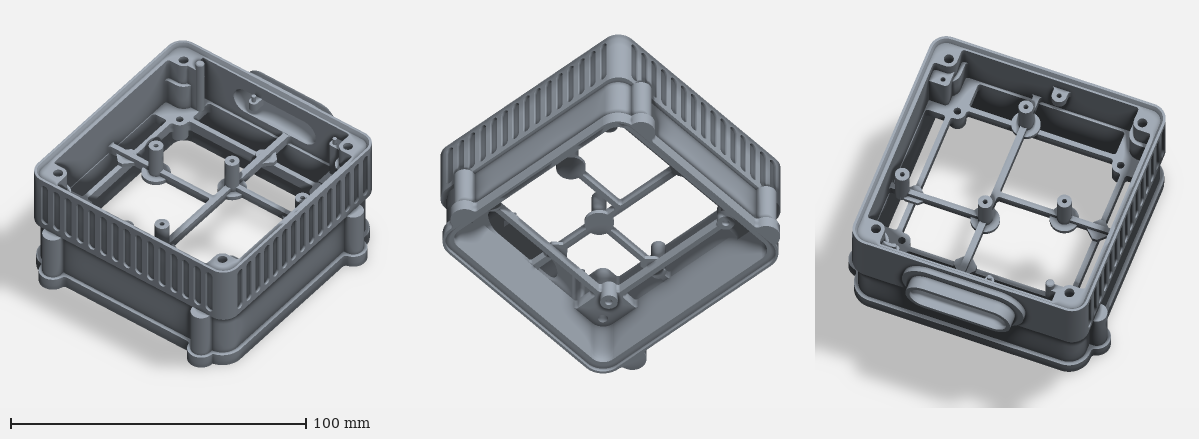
import cadquery as cq

tolerance = 0.01

base_top = 4.6
band_bottom = 21.8
floor_bottom = 19.7
floor_top = 23.7
beam_top = 27.0
gusset_top = 25.2
tab_bottom = 34.2
support_top = 37.4
boss_step = 34.0
ledge_top = 42.3
body_top = 43.8
locator_top = 45.0

body_side = 85.0
half_side = body_side / 2
body_radius = 6.0
overhang = 1.4
flange_radius = 7.7
lower_side = body_side - 2 * overhang
lower_radius = flange_radius - overhang

rim_width = 0.9
rim_slope = 0.9
cavity_x = 39.3
cavity_y = 40.0
lower_cavity = 39.0
cavity_radius = 5.0
cover_seat = half_side - rim_width
cover_seat_depth = body_top - ledge_top
cover_seat_radius = flange_radius - rim_width
wall_blend = 1.0
backing = 0.8

side_lug_y = 28.3
front_lug_x = 31.6
lug_radius = 3.6
flange_lug_radius = 4.8
lug_offset = 42.4
lug_root = 40.0
lug_blend = 1.4

groove_count = 15
groove_pitch = 5.0
groove_width = 3.0
groove_height = 17.8
groove_depth = 1.0
groove_z = 32.8

port_z = 32.15
port_span = 25.0
port_plate_radius = 9.5
port_plate_y = half_side + 2.1
port_tube_radius = 6.5
port_tube_y = half_side + 6.8
port_hole_radius = 5.0

frame_left, frame_right = -32.4, 30.9
frame_y = 28.8
frame_bar = 1.8
pad_left, pad_right = -27.3, 25.8
pad_y = 23.6
window_radius = 1.0
foot_holes_x = (-30.3, 28.75)
foot_hole_y = 26.65
foot_points = [(x, y) for x in foot_holes_x for y in (-foot_hole_y, foot_hole_y)]
foot_hole_diameter = 2.6
foot_radius = 3.0
foot_bottom = 16.5
pad_step_y = 30.4
pad_step_height = 0.5

spine_x = 5.0
spine_width = 2.3
branch_width = 1.9
left_branch_y = 0.0
right_branch_y = 9.7
post_radius = 2.5
post_hole_diameter = 1.7
post_hole_depth = 8.0
disc_radius = 5.0
gusset_reach = 3.9
gusset_tip = 0.9
gusset_trim_y = 12.1
low_post = (spine_x, -29.4)
left_post = (-20.0, left_branch_y)
spine_post = (spine_x, right_branch_y)
right_post = (35.0, right_branch_y)

boss_centre = 35.0
boss_hole_diameter = 3.4
boss_upper_radius = 3.0
boss_lower_radius = 4.4
pin_radius = 0.75
pin_height = 2.4
pin_y = 37.5
tab_pin_x = -7.0
tab_pin_radius = 1.65
block_pin_x = 27.5
block_left = 25.8
block_front = 35.9
block_radius = 1.2
locator = (-28.0, 35.0)
locator_radius = 1.5
locator_chamfer = 0.35
locator_web = 2.8
front_tab = (-4.0, -37.4)
front_tab_radius = 2.55
seat_hole = (35.0, -29.4)
seat_left = 32.4
seat_back = -27.2
seat_radius = 1.5


def box(x0, x1, y0, y1, z0, z1):
    """Axis-aligned block given by its limits."""
    return cq.Workplane("XY").box(x1 - x0, y1 - y0, z1 - z0, centered=False).translate((x0, y0, z0))


def rounded_box(size_x, size_y, z0, z1, radius):
    """Centred block with rounded vertical edges."""
    return box(-size_x / 2, size_x / 2, -size_y / 2, size_y / 2, z0, z1).edges("|Z").fillet(radius)


def cylinder(centre, radius, z0, z1):
    return cq.Workplane("XY", origin=(centre[0], centre[1], z0)).circle(radius).extrude(z1 - z0)


def lugs(radius, z0, z1):
    """Four lugs, one on each X side and two on the -Y side, with necks into the body."""
    side_lug = cylinder((lug_offset, side_lug_y), radius, z0, z1)
    side_lug = side_lug.union(box(lug_root, lug_offset, side_lug_y - radius, side_lug_y + radius, z0, z1))
    front_lug = cylinder((front_lug_x, -lug_offset), radius, z0, z1)
    front_lug = front_lug.union(
        box(front_lug_x - radius, front_lug_x + radius, -lug_offset, -lug_root, z0, z1))
    pair = side_lug.union(front_lug)
    return pair.union(pair.mirror("YZ"))


def outer_shell():
    """Solid outer form: lugged flange, lugged lower body and overhanging band."""
    flange = rounded_box(body_side, body_side, 0, base_top, flange_radius)
    flange = flange.union(lugs(flange_lug_radius, 0, base_top))
    straight_end = half_side - flange_radius

    def at_lug_root(edge):
        spot = edge.Center()
        near, far = sorted((abs(spot.x), abs(spot.y)))
        return abs(far - half_side) < tolerance and near < straight_end - tolerance

    flange = flange.newObject(flange.edges("|Z").filter(at_lug_root).vals()).fillet(lug_blend)
    lower = rounded_box(lower_side, lower_side, 0, band_bottom, lower_radius)
    lower = lower.union(lugs(lug_radius, 0, band_bottom))
    band = rounded_box(body_side, body_side, band_bottom, body_top, body_radius)
    return flange.union(lower).union(band)


def grooves():
    """Vertical grooves along the -Y, -X and +X faces of the band."""
    row = (
        cq.Workplane("XZ", origin=(0, -half_side + groove_depth, groove_z))
        .rarray(groove_pitch, 1, groove_count, 1)
        .slot2D(groove_height, groove_width, 90)
        .extrude(2 * groove_depth)
    )
    shape = row
    for angle in (-90, 90):
        shape = shape.union(row.rotate((0, 0, 0), (0, 0, 1), angle))
    return shape


def port_slot(radius, y0, y1):
    """Horizontal obround prism running along Y."""
    return (
        cq.Workplane("XZ", origin=(0, y0, port_z))
        .slot2D(port_span + 2 * radius, 2 * radius)
        .extrude(y0 - y1)
    )


def lid_recess():
    """Recess with sloped sides between the rim top and the lid ledge."""
    top_half = half_side - rim_width
    bottom_half = top_half - rim_slope
    top_radius = body_radius - rim_width
    top = cq.Sketch().rect(2 * top_half, 2 * top_half).vertices().fillet(top_radius)
    bottom = cq.Sketch().rect(2 * bottom_half, 2 * bottom_half).vertices().fillet(top_radius - rim_slope)
    return (
        cq.Workplane("XY")
        .placeSketch(bottom.moved(cq.Location(cq.Vector(0, 0, ledge_top))),
                     top.moved(cq.Location(cq.Vector(0, 0, body_top))))
        .loft()
    )


def window(x0, x1, y0, y1):
    return box(x0, x1, y0, y1, floor_bottom, floor_top).edges("|Z").fillet(window_radius)


def floor_windows():
    """Perimeter windows and one large centre window; four corner pads stay between them."""
    bar = frame_bar / 2
    shape = window(-lower_cavity, frame_left - bar, -pad_y, pad_y)
    shape = shape.union(window(frame_right + bar, lower_cavity, -pad_y, pad_y))
    for y0, y1 in ((frame_y + bar, lower_cavity), (-lower_cavity, -frame_y - bar)):
        shape = shape.union(window(pad_left, pad_right, y0, y1))
    inner_y = frame_y - bar
    centre = box(frame_left + bar, frame_right - bar, -inner_y, inner_y, floor_bottom, floor_top)
    for point in foot_points:
        centre = centre.cut(cylinder(point, foot_radius, floor_bottom, floor_top))
    return shape.union(centre.edges("|Z").fillet(window_radius))


def foot_bosses():
    """Round bosses under the pads and the raised step of the (+X, +Y) pad."""
    shape = box(pad_right, cavity_x, pad_step_y, cavity_y, floor_top, floor_top + pad_step_height)
    for x, y in foot_points:
        shape = shape.union(cylinder((x, y), foot_radius, foot_bottom, floor_top))
    return shape


def foot_holes():
    return (
        cq.Workplane("XY", origin=(0, 0, foot_bottom))
        .pushPoints(foot_points)
        .circle(foot_hole_diameter / 2)
        .extrude(floor_top - foot_bottom)
    )


def raised_beams():
    """Spine and two branches, blended into each other and into the cavity walls."""
    ring = cq.Workplane("XY", origin=(0, 0, floor_top))
    ring = ring.rect(2 * (cavity_x + backing), 2 * (cavity_y + backing)).rect(2 * cavity_x, 2 * cavity_y)
    ring = ring.extrude(beam_top - floor_top)
    spine_half = spine_width / 2
    spine = box(spine_x - spine_half, spine_x + spine_half, -cavity_y, cavity_y, floor_top, beam_top)
    half = branch_width / 2
    left = box(-cavity_x, spine_x, left_branch_y - half, left_branch_y + half, floor_top, beam_top)
    right = box(spine_x, cavity_x, right_branch_y - half, right_branch_y + half, floor_top, beam_top)
    return ring.union(spine).union(left).union(right).edges("|Z").fillet(wall_blend)


def gusset(centre):
    """Diamond plate with blunt tips at a beam crossing."""
    reach, tip = gusset_reach, gusset_tip
    outline = [
        (reach, -tip), (reach, tip), (tip, reach), (-tip, reach),
        (-reach, tip), (-reach, -tip), (-tip, -reach), (tip, -reach),
    ]
    return (
        cq.Workplane("XY", origin=(centre[0], centre[1], floor_top))
        .polyline(outline)
        .close()
        .extrude(gusset_top - floor_top)
    )


def posts():
    """Four posts, three of them on discs, and the gussets at the beam crossings."""
    shape = None
    for centre in (low_post, left_post, spine_post, right_post):
        post = cylinder(centre, post_radius, floor_top, support_top)
        if centre != right_post:
            post = post.union(cylinder(centre, disc_radius, floor_top, gusset_top))
        shape = post if shape is None else shape.union(post)
    for crossing in ((spine_x, frame_y), (frame_left, left_branch_y), (frame_right, right_branch_y)):
        shape = shape.union(gusset(crossing))
    trim = box(frame_right - gusset_reach, frame_right + gusset_reach, gusset_trim_y,
               right_branch_y + gusset_reach, floor_top, gusset_top)
    return shape.cut(trim)


def cross_cavity(boss_radius, z0, z1):
    """Cavity prism that leaves a rounded boss around each corner screw."""
    inner = boss_centre - boss_radius
    cross = box(-cavity_x, cavity_x, -inner, inner, z0, z1)
    cross = cross.union(box(-inner, inner, -cavity_y, cavity_y, z0, z1))

    def boss_corner(edge):
        return max(abs(edge.Center().x), abs(edge.Center().y)) < inner + tolerance

    cross = cross.newObject(cross.edges("|Z").filter(boss_corner).vals()).fillet(boss_radius)
    return cross.edges("|Z and (<X or >X or <Y or >Y)").fillet(wall_blend)


def screw_holes():
    return (
        cq.Workplane("XY")
        .rect(2 * boss_centre, 2 * boss_centre, forConstruction=True)
        .vertices()
        .circle(boss_hole_diameter / 2)
        .extrude(body_top)
    )


def wall_rib(x0, x1, free_y, side, z0):
    """Rib standing on the +Y (side=1) or -Y (side=-1) cavity wall, blended into it."""
    wall = side * cavity_y
    root = side * (cavity_y + backing)
    rib = box(x0, x1, min(free_y, wall), max(free_y, wall), z0, support_top)
    foot = box(x0 - 2 * wall_blend, x1 + 2 * wall_blend, min(wall, root), max(wall, root), z0, support_top)
    rib = rib.union(foot)

    def reentrant(edge):
        spot = edge.Center()
        at_side = min(abs(spot.x - x0), abs(spot.x - x1)) < tolerance
        return at_side and abs(spot.y - wall) < tolerance

    return rib.newObject(rib.edges("|Z").filter(reentrant).vals()).fillet(wall_blend)


def tab(centre, radius, side):
    """Round-ended tab reaching in from a Y wall."""
    arm = wall_rib(centre[0] - radius, centre[0] + radius, centre[1], side, tab_bottom)
    return arm.union(cylinder(centre, radius, tab_bottom, support_top))


def pin_seats():
    """Tabs, pin block and the screw seat beside the (+X, -Y) boss."""
    shape = tab(front_tab, front_tab_radius, -1)
    pin_tab = box(tab_pin_x - tab_pin_radius, tab_pin_x + tab_pin_radius, pin_y, cavity_y + backing,
                  tab_bottom, support_top)
    shape = shape.union(pin_tab).union(cylinder((tab_pin_x, pin_y), tab_pin_radius, tab_bottom, support_top))
    block = wall_rib(block_left, boss_centre, block_front, 1, floor_top)
    shape = shape.union(block.edges("|Z and <Y").edges("<X").fillet(block_radius))
    for x in (tab_pin_x, block_pin_x):
        shape = shape.union(cylinder((x, pin_y), pin_radius, support_top, support_top + pin_height))
    seat = box(seat_left, cavity_x + backing, -boss_centre, seat_back, floor_top, support_top)
    return shape.union(seat.edges("|Z and <X and >Y").fillet(seat_radius))


def locator_peg():
    """Tall peg joined to the (-X, +Y) boss by a web."""
    x, y = locator
    peg = cylinder(locator, locator_radius, floor_top, locator_top).faces(">Z").chamfer(locator_chamfer)
    web = box(-boss_centre, x, y - locator_web / 2, y + locator_web / 2, floor_top, ledge_top)
    shoulder = box(-boss_centre, boss_lower_radius - boss_centre, y, cavity_y, floor_top, ledge_top)
    return web.union(shoulder).union(peg)


def support_holes():
    centres = [low_post, left_post, spine_post, right_post, seat_hole, front_tab]
    return (
        cq.Workplane("XY", origin=(0, 0, support_top))
        .pushPoints(centres)
        .circle(post_hole_diameter / 2)
        .extrude(-post_hole_depth)
    )


body = outer_shell().cut(grooves())
body = body.union(port_slot(port_plate_radius, half_side - backing, port_plate_y))
body = body.union(port_slot(port_tube_radius, half_side - backing, port_tube_y))
body = body.cut(rounded_box(2 * lower_cavity, 2 * lower_cavity, 0, floor_bottom, cavity_radius))
cover_recess = rounded_box(2 * cover_seat, 2 * cover_seat, 0, cover_seat_depth, cover_seat_radius)
body = body.cut(cover_recess)
body = body.cut(floor_windows())
body = body.cut(cross_cavity(boss_lower_radius, floor_top, boss_step))
body = body.cut(cross_cavity(boss_upper_radius, boss_step, ledge_top))
body = body.cut(lid_recess())
body = body.cut(port_slot(port_hole_radius, cavity_y - backing, port_tube_y))
body = body.union(foot_bosses()).union(raised_beams()).union(posts())
body = body.union(pin_seats()).union(locator_peg())
result = body.cut(foot_holes()).cut(screw_holes()).cut(support_holes())